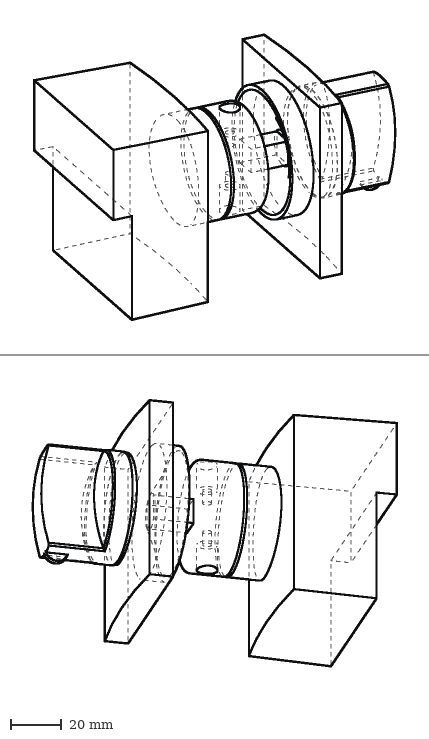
import cadquery as cq
import math


square_x = -2.0
square_width = 69.6
square_bottom = -42.9
square_top = 31.5
crown_rise = 2.0

housing_crown_y = 43.7
housing_width = 71.0
housing_bottom = -43.5
housing_top = 32.4
step_z = 1.8
step_depth = 8.2
boss_end_y = 56.9
drum_radius = 22.5

coupling_rear_y = 58.1
coupling_front_y = 74.1
coupling_fillet = 2.3
shaft_side = 10.2
shaft_end_y = 90.4
screw_y = 67.3
screw_head_diameter = 8.2
screw_head_depth = 10.9
screw_diameter = 3.5
screw_depth = 16.4

collar_rear_y = 81.5
collar_radius = 27.0
cup_rim_radius = 25.1
cup_step_radius = 17.7
cup_step_y = 84.6
cup_floor_radius = 7.4
plate_rear_y = 90.8
plate_crown_y = 102.4

neck_radius = 22.2
disc_rear_y = 103.5
disc_edge_y = 110.5
disc_edge_bevel = 0.7
dome_start_y = 111.4
dome_top_y = 117.0
tip_y = 136.5
tip_side_y = 133.1
grip_tip_half = 6.7
grip_end_half = 7.0
grip_mid_half = 10.0
flank_mid = (7.9, 127.8)
grip_edge_bevel = 0.7
flank_bottom_y = 118.0
pointer_y = 128.7
pointer_radius = 4.6
pointer_reach = 3.1
pointer_width = 2.7


def cylinder_y(radius, start, end):
    """Cylinder on the rotary axis between two Y positions."""
    circle = cq.Workplane("XZ", origin=(0, start, 0)).circle(radius)
    return circle.extrude(start - end)


def crowned_block(rear_y, crown_y, width, bottom, top):
    """Block whose front face is an arc across X."""
    left = square_x - width / 2
    right = square_x + width / 2
    side_y = crown_y - crown_rise
    return (
        cq.Workplane("XY", origin=(0, 0, bottom))
        .moveTo(left, rear_y)
        .lineTo(right, rear_y)
        .lineTo(right, side_y)
        .threePointArc((square_x, crown_y), (left, side_y))
        .close()
        .extrude(top - bottom)
    )


def make_housing():
    rear_height = housing_top - housing_bottom
    front_height = square_top - square_bottom
    rear_z = (housing_top + housing_bottom) / 2
    front_z = (square_top + square_bottom) / 2
    box = (
        cq.Workplane("XZ", origin=(square_x, 0, 0))
        .center(0, rear_z)
        .rect(housing_width, rear_height)
        .workplane(offset=-housing_crown_y)
        .center(0, front_z - rear_z)
        .rect(square_width, front_height)
        .loft(ruled=True)
    )
    crown = crowned_block(0, housing_crown_y, housing_width, housing_bottom, housing_top)
    boss = cylinder_y(drum_radius, housing_crown_y - crown_rise, boss_end_y)
    step = cq.Workplane("XY", origin=(square_x, 0, step_z)).rect(
        2 * housing_width, 2 * step_depth
    ).extrude(2 * housing_bottom)
    return box.intersect(crown).union(boss).cut(step)


def make_coupling():
    drum = cylinder_y(drum_radius, coupling_rear_y, coupling_front_y)
    drum = drum.faces(">Y").edges().fillet(coupling_fillet)
    shaft = (
        cq.Workplane("XZ", origin=(0, coupling_front_y, 0))
        .rect(shaft_side, shaft_side)
        .extrude(coupling_front_y - shaft_end_y)
    )
    coupling = drum.union(shaft)
    cross = cq.Workplane("XY", origin=(0, screw_y, 0))
    for side in (-1, 1):
        for diameter, depth in ((screw_head_diameter, screw_head_depth), (screw_diameter, screw_depth)):
            hole = cross.workplane(offset=side * (drum_radius - depth)).circle(diameter / 2)
            coupling = coupling.cut(hole.extrude(side * depth))
    return coupling


def make_knob_disc():
    """Neck, disc and domed face as one revolved profile."""
    dome_radius = drum_radius - disc_edge_bevel
    dome_rise = dome_top_y - dome_start_y
    sphere_radius = (dome_radius**2 + dome_rise**2) / (2 * dome_rise)
    neck_start_y = plate_crown_y - crown_rise
    mid_r = dome_radius / 2
    mid_y = dome_top_y - sphere_radius + math.sqrt(sphere_radius**2 - mid_r**2)
    return (
        cq.Workplane("XY")
        .moveTo(0, neck_start_y)
        .lineTo(neck_radius, neck_start_y)
        .lineTo(neck_radius, disc_rear_y)
        .lineTo(drum_radius, disc_rear_y)
        .lineTo(drum_radius, disc_edge_y)
        .lineTo(dome_radius, dome_start_y)
        .threePointArc((mid_r, mid_y), (0, dome_top_y))
        .close()
        .revolve(360, (0, 0, 0), (0, 1, 0))
    )


def make_grip():
    """Grip with bulging sides, hollow flanks and a rounded tip."""
    end_z = math.sqrt(drum_radius**2 - grip_end_half**2)
    prism = (
        cq.Workplane("XZ", origin=(0, disc_edge_y, 0))
        .moveTo(-grip_end_half, -end_z)
        .threePointArc((0, -drum_radius), (grip_end_half, -end_z))
        .threePointArc((grip_mid_half, 0), (grip_end_half, end_z))
        .threePointArc((0, drum_radius), (-grip_end_half, end_z))
        .threePointArc((-grip_mid_half, 0), (-grip_end_half, -end_z))
        .close()
        .extrude(disc_edge_y - tip_y)
    )
    prism = prism.edges("|Y").chamfer(grip_edge_bevel)
    flank_x, flank_y = flank_mid
    flanks = (
        cq.Workplane("XY", origin=(0, 0, -drum_radius))
        .moveTo(-grip_mid_half, disc_edge_y)
        .lineTo(grip_mid_half, disc_edge_y)
        .lineTo(grip_mid_half, flank_bottom_y)
        .threePointArc((flank_x, flank_y), (grip_tip_half, tip_y))
        .lineTo(-grip_tip_half, tip_y)
        .threePointArc((-flank_x, flank_y), (-grip_mid_half, flank_bottom_y))
        .close()
        .extrude(2 * drum_radius)
    )
    tip = (
        cq.Workplane("YZ")
        .moveTo(disc_edge_y, -drum_radius)
        .lineTo(tip_side_y, -drum_radius)
        .threePointArc((tip_y, 0), (tip_side_y, drum_radius))
        .lineTo(disc_edge_y, drum_radius)
        .close()
        .extrude(grip_mid_half, both=True)
    )
    pointer_z = pointer_radius - drum_radius - pointer_reach
    pointer = (
        cq.Workplane("YZ")
        .center(pointer_y, pointer_z)
        .circle(pointer_radius)
        .extrude(pointer_width / 2, both=True)
    )
    return prism.intersect(flanks).intersect(tip).union(pointer)


def make_front():
    plate = crowned_block(plate_rear_y, plate_crown_y, square_width, square_bottom, square_top)
    collar = cylinder_y(collar_radius, collar_rear_y, plate_rear_y)
    cup = (
        cq.Workplane("XY")
        .moveTo(0, collar_rear_y)
        .lineTo(cup_rim_radius, collar_rear_y)
        .lineTo(cup_step_radius, cup_step_y)
        .lineTo(cup_floor_radius, shaft_end_y)
        .lineTo(0, shaft_end_y)
        .close()
        .revolve(360, (0, 0, 0), (0, 1, 0))
    )
    knob = make_knob_disc().union(make_grip())
    return plate.union(collar).cut(cup).union(knob)


housing = make_housing()
coupling = make_coupling()
front = make_front()

result = cq.Compound.makeCompound([housing.val(), coupling.val(), front.val()])